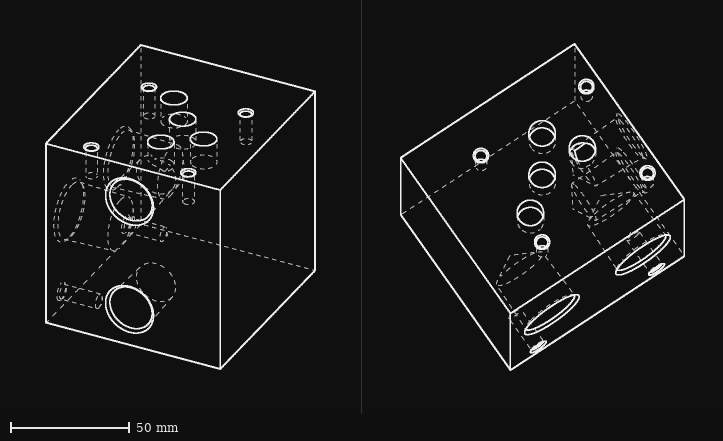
import cadquery as cq
import math

LENGTH_X = 82.6
DEPTH_Y = 88.9
HEIGHT_Z = 88.9

DRILL_POINT_ANGLE = 118.0
PIPE_TAPER = 1 / 16

WORK_BORE = 20.0
WORK_MOUTH = 22.8
WORK_DEPTH = 24.5
WORK_X = 39.65
WORK_HEIGHTS = (17.7, 71.2)

SUPPLY_BORE = 25.2
SUPPLY_MOUTH = 27.9
SUPPLY_DEPTH = 24.5
SUPPLY_Z = HEIGHT_Z / 2
SUPPLY_SPACING = 46.6

MOUNT_BORE = 6.4
MOUNT_MOUTH = 8.1
MOUNT_DEPTH = 17.8
MOUNT_Z = 7.8
MOUNT_SPACING = 60.45

SCREW_BORE = 5.0
SCREW_MOUTH = 6.4
SCREW_DEPTH = 14.2
SCREW_CENTRE = (LENGTH_X / 2, 33.3)
SCREW_SPACING_X = 45.9
SCREW_SPACING_Y = 53.9

VALVE_PORT_BORE = 11.2
VALVE_PORT_DEPTH = 11.3
VALVE_PORT_CENTRES = ((31.7, 57.2), (42.8, 43.65), (57.8, 33.4), (42.8, 23.1))


def drilled_hole(bore, mouth, depth, centre, direction, taper=0.0):
    """Bore with a 45 degree countersunk mouth and a conical bottom, as a solid to cut away.

    The bore diameter is the one below the countersink; a taper narrows it further down.
    """
    bore_radius = bore / 2
    mouth_radius = mouth / 2
    countersink = mouth_radius - bore_radius
    bottom_radius = bore_radius - taper * (depth - countersink) / 2
    point = bottom_radius / math.tan(math.radians(DRILL_POINT_ANGLE / 2))
    plane = cq.Plane(origin=centre, normal=direction)
    half_section = (
        cq.Workplane("XZ")
        .polyline([
            (0, 0),
            (mouth_radius, 0),
            (bore_radius, countersink),
            (bottom_radius, depth),
            (0, depth + point),
        ])
        .close()
    )
    cutter = half_section.revolve(360, (0, 0, 0), (0, 1, 0)).val()
    return cutter.moved(cq.Location(plane))


block = cq.Workplane("XY").box(LENGTH_X, DEPTH_Y, HEIGHT_Z, centered=False)

for z in WORK_HEIGHTS:
    centre = (WORK_X, 0, z)
    block = block.cut(drilled_hole(WORK_BORE, WORK_MOUTH, WORK_DEPTH, centre, (0, 1, 0), PIPE_TAPER))

for side in (-1, 1):
    supply_centre = (0, DEPTH_Y / 2 + side * SUPPLY_SPACING / 2, SUPPLY_Z)
    mount_centre = (0, DEPTH_Y / 2 + side * MOUNT_SPACING / 2, MOUNT_Z)
    block = block.cut(
        drilled_hole(SUPPLY_BORE, SUPPLY_MOUTH, SUPPLY_DEPTH, supply_centre, (1, 0, 0), PIPE_TAPER)
    )
    block = block.cut(drilled_hole(MOUNT_BORE, MOUNT_MOUTH, MOUNT_DEPTH, mount_centre, (1, 0, 0)))

for side_x in (-1, 1):
    for side_y in (-1, 1):
        screw_x = SCREW_CENTRE[0] + side_x * SCREW_SPACING_X / 2
        screw_y = SCREW_CENTRE[1] + side_y * SCREW_SPACING_Y / 2
        centre = (screw_x, screw_y, HEIGHT_Z)
        block = block.cut(drilled_hole(SCREW_BORE, SCREW_MOUTH, SCREW_DEPTH, centre, (0, 0, -1)))

valve_ports = (
    cq.Workplane("XY", origin=(0, 0, HEIGHT_Z - VALVE_PORT_DEPTH))
    .pushPoints(VALVE_PORT_CENTRES)
    .circle(VALVE_PORT_BORE / 2)
    .extrude(VALVE_PORT_DEPTH)
)

result = block.cut(valve_ports)